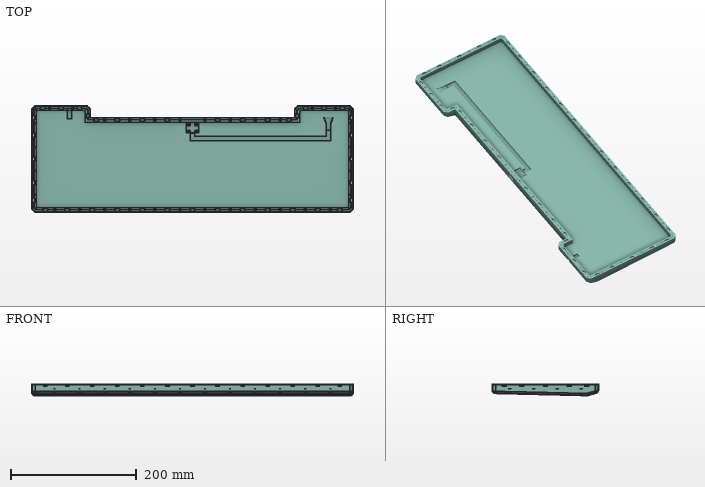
import cadquery as cq
length = 511.5
width = 169.0
height = 18.0
corner_chamfer = 5.0

ear_length = 93.0
notch_depth = 18.5

front_height = 14.5
rear_height = 13.0
rear_rise_length = 18.0
bottom_chamfer = 3.5

floor_depth = 8.5
rim = 6.5
notch_rim = 7.5
cavity_corner_chamfer = 2.0

groove_inset = 3.3
groove_width = 0.5
groove_depth = 0.5
groove_corner_chamfer = 3.5

pocket_length = 8.5
pocket_width = 4.0
pocket_depth = 3.0
pocket_corner_chamfer = 1.8

screw_diameter = 2.3
head_diameter = 4.0
head_top_depth = 6.5

long_edge_inset = 3.5
end_inset = 2.8

front_pitch = 40.0
front_last_pocket_x = 234.5
end_pitch = 19.0
end_last_pocket_y = 66.0
ear_pocket_offset = 29.0
ear_screw_offset = 18.5
notch_last_pocket_x = 153.5
notch_side_pocket_y = 68.5

board_length = 20.0
board_width = 17.0
board_corner_chamfer = 1.5
recess_depth = 3.0
post_diameter = 5.0
post_hole_diameter = 2.0
post_height = 1.5
post_spacing = 12.5
post_center_y = 49.0
port_length = 14.0
port_height = 6.0

channel_width = 7.5
wall_draft = 10
channel_y = 32.5
channel_end_x = 216.5
ramp_start_y = 46.0
flare_start_y = 57.0
ramp_end_y = 66.0
flare_width = 14.5

slot_x = -196.0
slot_width = 7.0
slot_end_y = 64.5

half_length = length / 2
half_width = width / 2
ear_inner_x = half_length - ear_length
ear_center_x = half_length - ear_length / 2
notch_y = half_width - notch_depth
cavity_notch_y = notch_y - notch_rim
crease_y = half_width - rear_rise_length
floor_z = -floor_depth
recess_z = floor_z - recess_depth


def outline_block(inset, notch_inset, depth, chamfer):
    """Tray outline moved inwards, extruded below z = 0, its outer corners chamfered."""
    x_end = half_length - inset
    y_end = half_width - inset
    x_ear = ear_inner_x + notch_inset
    y_notch = notch_y - notch_inset
    block = (
        cq.Workplane("XY")
        .polyline([
            (-x_end, -y_end),
            (x_end, -y_end),
            (x_end, y_end),
            (x_ear, y_end),
            (x_ear, y_notch),
            (-x_ear, y_notch),
            (-x_ear, y_end),
            (-x_end, y_end),
        ])
        .close()
        .extrude(-depth)
    )
    outer_corners = block.edges("|Z").edges("<Y or >Y")
    return outer_corners.chamfer(chamfer)


def box_between(x_min, x_max, y_min, y_max, z_min, z_max):
    size = (x_max - x_min, y_max - y_min, z_max - z_min)
    return cq.Workplane("XY").box(*size, centered=False).translate((x_min, y_min, z_min))


def cylinders(points, diameter, z_bottom, z_top):
    plane = cq.Workplane("XY", origin=(0, 0, z_bottom))
    return plane.pushPoints(points).circle(diameter / 2).extrude(z_top - z_bottom)


def mirrored(points):
    """The points together with their mirror images in X."""
    return points + [(-x, y) for x, y in points if x != 0]


def shell():
    """Solid tray with a sloping, bevelled underside."""
    side_profile = (
        cq.Workplane("YZ", origin=(-half_length, 0, 0))
        .polyline([
            (-half_width, 0),
            (-half_width, -front_height),
            (crease_y, -height),
            (half_width, -rear_height),
            (half_width, 0),
        ])
        .close()
        .extrude(length)
    )
    block = outline_block(0, 0, height, corner_chamfer).intersect(side_profile)
    rim_edges = []
    for face in block.faces().vals():
        if face.normalAt().z < -0.5:
            rim_edges += [e for e in face.Edges() if e.BoundingBox().zmax > -height + 0.005]
    return block.newObject(rim_edges).chamfer(bottom_chamfer)


def groove():
    inner_inset = groove_inset + groove_width
    outer = outline_block(groove_inset, groove_inset, groove_depth, groove_corner_chamfer)
    inner = outline_block(inner_inset, inner_inset, groove_depth, groove_corner_chamfer)
    return outer.cut(inner)


front_y = -half_width + long_edge_inset
rear_y = half_width - long_edge_inset
end_x = half_length - end_inset
notch_rim_y = notch_y - notch_rim / 2


def pocket_group(points, x_size, y_size):
    pockets = cq.Workplane("XY").pushPoints(mirrored(points)).rect(x_size, y_size).extrude(-pocket_depth)
    return pockets.edges("|Z").chamfer(pocket_corner_chamfer)


def rim_pockets():
    along_x = [(i * front_pitch, front_y) for i in range(6)]
    along_x += [(front_last_pocket_x, front_y)]
    along_x += [(ear_center_x + i * ear_pocket_offset, rear_y) for i in (-1, 0, 1)]
    along_x += [(i * front_pitch, notch_rim_y) for i in (1, 2, 3)]
    along_x += [(notch_last_pocket_x, notch_rim_y)]
    end_ys = [-end_last_pocket_y, -2 * end_pitch, 0, 2 * end_pitch, end_last_pocket_y]
    along_y = [(end_x, y) for y in end_ys]
    along_y += [(ear_inner_x + notch_rim / 2, notch_side_pocket_y)]
    pockets = pocket_group(along_x, pocket_length, pocket_width)
    return pockets.union(pocket_group(along_y, pocket_width, pocket_length))


def screw_holes():
    points = [((i + 0.5) * front_pitch, front_y) for i in range(6)]
    points += [((i + 0.5) * front_pitch, notch_rim_y) for i in range(4)]
    points += [(ear_center_x + i * ear_screw_offset, rear_y) for i in (-1, 1)]
    points += [(end_x, i * end_pitch) for i in (-3, -1, 1, 3)]
    points = mirrored(points)
    shafts = cylinders(points, screw_diameter, -height, 0)
    heads = cylinders(points, head_diameter, -height, -head_top_depth)
    return shafts.union(heads)


def board_recess():
    recess = box_between(
        -board_length / 2, board_length / 2,
        cavity_notch_y - board_width, cavity_notch_y,
        recess_z, floor_z)
    recess = recess.edges("|Z and <Y").chamfer(board_corner_chamfer)
    port = box_between(
        -port_length / 2, port_length / 2,
        cavity_notch_y, notch_y,
        recess_z, recess_z + port_height)
    centers = [
        (i * post_spacing / 2, post_center_y + j * post_spacing / 2)
        for i in (-1, 1) for j in (-1, 1)
    ]
    posts = cylinders(centers, post_diameter, recess_z, recess_z + post_height)
    holes = cylinders(centers, post_hole_diameter, recess_z, floor_z)
    return recess.union(port).cut(posts.cut(holes))


def cable_channel():
    half = channel_width / 2
    board_edge_y = cavity_notch_y - board_width
    channel = (
        cq.Workplane("XY", origin=(0, 0, floor_z))
        .polyline([
            (-half, board_edge_y),
            (-half, channel_y - half),
            (channel_end_x + half, channel_y - half),
            (channel_end_x + half, ramp_start_y),
            (channel_end_x - half, ramp_start_y),
            (channel_end_x - half, channel_y + half),
            (half, channel_y + half),
            (half, board_edge_y),
        ])
        .close()
        .extrude(-recess_depth, taper=wall_draft)
    )
    return channel


def flared_ramp():
    """End of the cable channel, rising to the floor as it widens."""
    half = channel_width / 2
    plan = (
        cq.Workplane("XY", origin=(channel_end_x, 0, recess_z))
        .polyline([
            (-half, ramp_start_y),
            (half, ramp_start_y),
            (half, flare_start_y),
            (flare_width / 2, ramp_end_y),
            (-flare_width / 2, ramp_end_y),
            (-half, flare_start_y),
        ])
        .close()
        .extrude(recess_depth)
    )
    wedge = (
        cq.Workplane("YZ", origin=(channel_end_x - flare_width, 0, 0))
        .polyline([(ramp_start_y, recess_z), (ramp_end_y, floor_z), (ramp_start_y, floor_z)])
        .close()
        .extrude(2 * flare_width)
    )
    return plan.intersect(wedge)


def ear_slot():
    x_min = slot_x - slot_width / 2
    x_max = slot_x + slot_width / 2
    cavity_rear_y = half_width - rim
    recess = box_between(x_min, x_max, slot_end_y, cavity_rear_y, recess_z, floor_z)
    opening = box_between(x_min, x_max, cavity_rear_y, half_width, recess_z, recess_z + port_height)
    return recess.union(opening)


result = (
    shell()
    .cut(outline_block(rim, notch_rim, floor_depth, cavity_corner_chamfer))
    .cut(groove())
    .cut(rim_pockets())
    .cut(screw_holes())
    .cut(board_recess())
    .cut(cable_channel())
    .cut(flared_ramp())
    .cut(ear_slot())
)